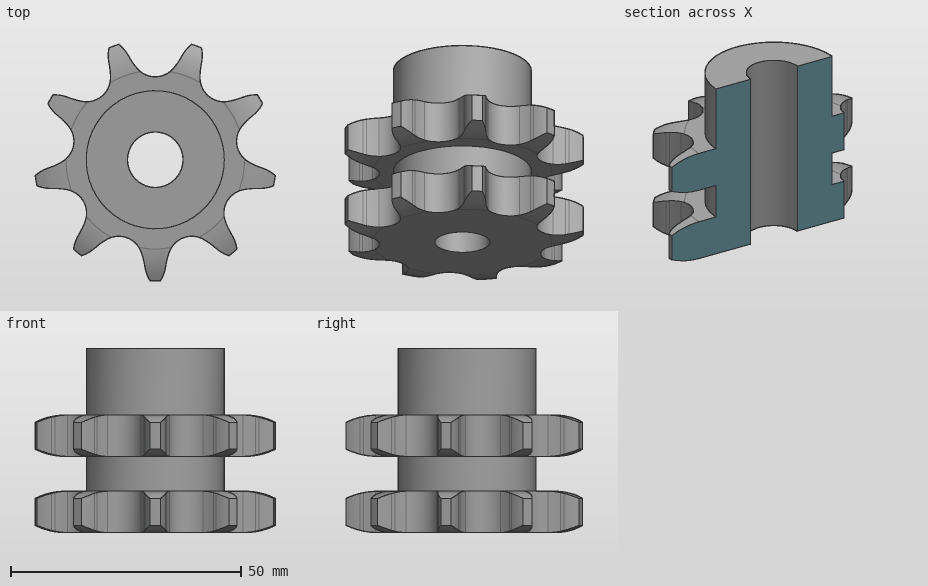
import cadquery as cq
import math


TOOTH_COUNT = 9
CHAIN_PITCH = 15.85
ROLLER_DIAMETER = 10.15
SEATING_CLEARANCE = 0.035
OUTER_WIDTH = 52.15
TIP_HALF_ANGLE = 2.5
TOOTH_WIDTH = 9.0
ROW_PITCH = 16.55
HUB_DIAMETER = 30.0
HUB_HEIGHT = 40.0
BORE_DIAMETER = 12
FIRST_TOOTH_ANGLE = -90

TOOTH_STEP = 360 / TOOTH_COUNT
TIP_RADIUS = OUTER_WIDTH / 2 / math.cos(math.radians(TOOTH_STEP / 4 - TIP_HALF_ANGLE))
PITCH_RADIUS = CHAIN_PITCH / (2 * math.sin(math.radians(TOOTH_STEP / 2)))
SEATING_RADIUS = 0.5025 * ROLLER_DIAMETER + SEATING_CLEARANCE
WORKING_OFFSET = 0.8 * ROLLER_DIAMETER
WORKING_RADIUS = SEATING_RADIUS + WORKING_OFFSET
TIP_ARC_OFFSET = 1.4 * ROLLER_DIAMETER

SEATING_ANGLE = math.radians(90 - (35 + 60 / TOOTH_COUNT))
WORKING_ANGLE = math.radians(18 - 56 / TOOTH_COUNT)
TIP_ARC_ANGLE = math.radians(17 - 64 / TOOTH_COUNT)
FLANK_ANGLE = SEATING_ANGLE + WORKING_ANGLE

FLAT_LENGTH = TIP_ARC_OFFSET * math.sin(TIP_ARC_ANGLE) - WORKING_OFFSET * math.sin(WORKING_ANGLE)
TIP_ARC_RADIUS = (
    WORKING_OFFSET * math.cos(WORKING_ANGLE)
    + TIP_ARC_OFFSET * math.cos(TIP_ARC_ANGLE)
    - WORKING_RADIUS
)

SIDE_RELIEF_DEPTH = 0.1 * CHAIN_PITCH
SIDE_RELIEF_RADIUS = CHAIN_PITCH


def move(point, distance, angle):
    """Shift a point by a distance at an angle from the gap's outward centre line."""
    return (point[0] + distance * math.cos(angle), point[1] + distance * math.sin(angle))


def flank_points():
    """Points up one side of a gap that is centred on +X, from gap bottom to tooth tip."""
    seating_centre = (PITCH_RADIUS, 0)
    seating_end_direction = math.pi - SEATING_ANGLE
    flank_direction = math.pi - FLANK_ANGLE

    gap_bottom = move(seating_centre, SEATING_RADIUS, math.pi)
    seating_middle = move(seating_centre, SEATING_RADIUS, math.pi - SEATING_ANGLE / 2)
    seating_end = move(seating_centre, SEATING_RADIUS, seating_end_direction)

    working_centre = move(seating_centre, -WORKING_OFFSET, seating_end_direction)
    working_middle = move(working_centre, WORKING_RADIUS, seating_end_direction - WORKING_ANGLE / 2)
    working_end = move(working_centre, WORKING_RADIUS, flank_direction)
    flat_end = move(working_end, FLAT_LENGTH, flank_direction - math.pi / 2)

    tip_arc_centre = move(flat_end, TIP_ARC_RADIUS, flank_direction)
    centre_distance = math.hypot(*tip_arc_centre)
    centre_angle = math.atan2(tip_arc_centre[1], tip_arc_centre[0])
    squares = centre_distance**2 + TIP_RADIUS**2 - TIP_ARC_RADIUS**2
    corner_offset = math.acos(squares / (2 * centre_distance * TIP_RADIUS))
    tip_corner = move((0, 0), TIP_RADIUS, centre_angle - corner_offset)

    start_angle = flank_direction - math.pi
    end_angle = math.atan2(tip_corner[1] - tip_arc_centre[1], tip_corner[0] - tip_arc_centre[0])
    tip_arc_middle = move(tip_arc_centre, TIP_ARC_RADIUS, (start_angle + end_angle) / 2)

    return [
        gap_bottom, seating_middle, seating_end, working_middle, working_end,
        flat_end, tip_arc_middle, tip_corner,
    ]


def rotate(point, degrees):
    """Turn a point about the sprocket axis."""
    angle = math.radians(degrees)
    x, y = point
    return (x * math.cos(angle) - y * math.sin(angle), x * math.sin(angle) + y * math.cos(angle))


def add_falling_flank(outline, points):
    """Continue the outline from a tooth tip down to the gap bottom."""
    (gap_bottom, seating_middle, seating_end, working_middle, working_end,
     flat_end, tip_arc_middle, _) = points
    return (
        outline.threePointArc(tip_arc_middle, flat_end)
        .lineTo(*working_end)
        .threePointArc(working_middle, seating_end)
        .threePointArc(seating_middle, gap_bottom)
    )


def add_rising_flank(outline, points):
    """Continue the outline from the gap bottom up to the next tooth tip."""
    (_, seating_middle, seating_end, working_middle, working_end,
     flat_end, tip_arc_middle, tip_corner) = points
    return (
        outline.threePointArc(seating_middle, seating_end)
        .threePointArc(working_middle, working_end)
        .lineTo(*flat_end)
        .threePointArc(tip_arc_middle, tip_corner)
    )


def toothed_plate():
    """Plain plate with the full tooth outline."""
    rising = flank_points()
    falling = [(x, -y) for x, y in rising]
    first_gap_angle = FIRST_TOOTH_ANGLE + TOOTH_STEP / 2

    outline = cq.Workplane("XY").moveTo(*rotate(falling[-1], first_gap_angle))
    for index in range(TOOTH_COUNT):
        gap_angle = first_gap_angle + index * TOOTH_STEP
        outline = add_falling_flank(outline, [rotate(point, gap_angle) for point in falling])
        outline = add_rising_flank(outline, [rotate(point, gap_angle) for point in rising])
        tooth_tip = rotate((TIP_RADIUS, 0), gap_angle + TOOTH_STEP / 2)
        next_corner = rotate(falling[-1], gap_angle + TOOTH_STEP)
        outline = outline.threePointArc(tooth_tip, next_corner)
    return outline.close().extrude(TOOTH_WIDTH)


def relieved_blank():
    """Round blank whose rim sides are arcs tangent to the flat faces."""
    end_angle = math.acos(1 - SIDE_RELIEF_DEPTH / SIDE_RELIEF_RADIUS)
    flat_radius = TIP_RADIUS - SIDE_RELIEF_RADIUS * math.sin(end_angle)
    middle_radius = flat_radius + SIDE_RELIEF_RADIUS * math.sin(end_angle / 2)
    middle_depth = SIDE_RELIEF_RADIUS * (1 - math.cos(end_angle / 2))
    return (
        cq.Workplane("XZ")
        .lineTo(flat_radius, 0)
        .threePointArc((middle_radius, middle_depth), (TIP_RADIUS, SIDE_RELIEF_DEPTH))
        .lineTo(TIP_RADIUS, TOOTH_WIDTH - SIDE_RELIEF_DEPTH)
        .threePointArc((middle_radius, TOOTH_WIDTH - middle_depth), (flat_radius, TOOTH_WIDTH))
        .lineTo(0, TOOTH_WIDTH)
        .close()
        .revolve(360, (0, 0, 0), (0, 1, 0))
    )


tooth_row = toothed_plate().intersect(relieved_blank())
hub = cq.Workplane("XY").circle(HUB_DIAMETER / 2).extrude(HUB_HEIGHT)
bore = cq.Workplane("XY").circle(BORE_DIAMETER / 2).extrude(HUB_HEIGHT)

result = hub.union(tooth_row).union(tooth_row.translate((0, 0, ROW_PITCH))).cut(bore)